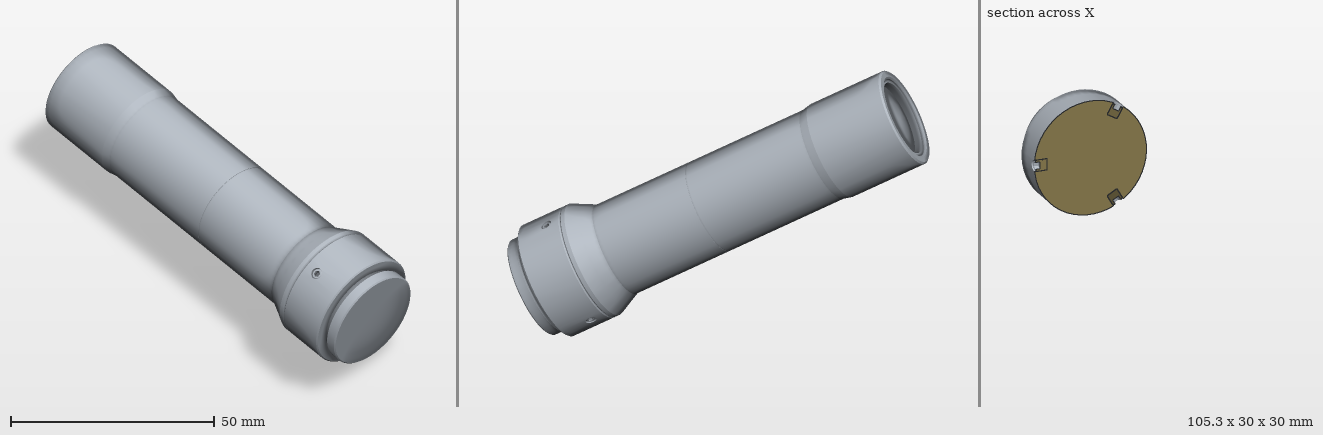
import cadquery as cq
import math

length = 105.3
grip_end = 20.7
grip_taper_end = 23.1
tube_groove_start = 55.1
flare_start = 81.6
flare_end = 87.8
head_groove_start = 88.9
head_end = 101.2
flange_start = 102.2

grip_radius = 12.5
tube_radius = 12.0
head_radius = 15.0
flange_radius = 12.8

tube_groove_width = 0.3
tube_groove_depth = 0.1
head_groove_width = 0.6
head_groove_depth = 0.3
front_chamfer = 0.4
edge_chamfer = 0.3

mouth_radius = 10.7
mouth_chamfer = 0.4
seat_depth = 0.7
lens_radius = 9.5
lens_edge_depth = 2.6
lens_sag = 1.3

screw_count = 3
screw_station = 93.0
screw_diameter = 2.8
screw_length = 3.2
screw_top_radius = 14.7
screw_chamfer = 0.3
socket_across_flats = 1.5
socket_depth = 1.3
socket_sides = 6
first_screw_angle = 30.0
socket_turn = 30.0


def revolve_about_x(outline):
    """Close an outline and turn it about the X axis into a solid."""
    return outline.close().revolve(360, (0, 0, 0), (1, 0, 0))


def housing_blank():
    """Stepped barrel with its flare, head, neck and rear flange."""
    outline = (
        cq.Workplane("XZ")
        .lineTo(0, grip_radius - front_chamfer)
        .lineTo(front_chamfer, grip_radius)
        .lineTo(grip_end, grip_radius)
        .lineTo(grip_taper_end, tube_radius)
        .lineTo(flare_start, tube_radius)
        .lineTo(flare_end, head_radius)
        .lineTo(head_end - edge_chamfer, head_radius)
        .lineTo(head_end, head_radius - edge_chamfer)
        .lineTo(head_end, tube_radius)
        .lineTo(flange_start, tube_radius)
        .lineTo(flange_start, flange_radius - edge_chamfer)
        .lineTo(flange_start + edge_chamfer, flange_radius)
        .lineTo(length - edge_chamfer, flange_radius)
        .lineTo(length, flange_radius - edge_chamfer)
        .lineTo(length, 0)
    )
    return revolve_about_x(outline)


def front_recess():
    """Stepped mouth whose floor is the convex lens face."""
    slope = lens_sag / lens_radius
    sphere_radius = lens_radius * (1 + slope**2) / (2 * slope)
    half_height = lens_radius / 2
    half_sag = sphere_radius - math.sqrt(sphere_radius**2 - half_height**2)
    lens_apex = lens_edge_depth - lens_sag
    outline = (
        cq.Workplane("XZ")
        .lineTo(0, mouth_radius)
        .lineTo(mouth_chamfer, mouth_radius - mouth_chamfer)
        .lineTo(seat_depth, mouth_radius - mouth_chamfer)
        .lineTo(seat_depth, lens_radius)
        .lineTo(lens_edge_depth, lens_radius)
        .threePointArc((lens_apex + half_sag, half_height), (lens_apex, 0))
    )
    return revolve_about_x(outline)


def tube_groove():
    """Shallow square groove around the tube."""
    return (
        cq.Workplane("YZ", origin=(tube_groove_start, 0, 0))
        .circle(tube_radius)
        .circle(tube_radius - tube_groove_depth)
        .extrude(tube_groove_width)
    )


def head_groove():
    """V-shaped groove around the head."""
    outline = (
        cq.Workplane("XZ")
        .moveTo(head_groove_start, head_radius)
        .lineTo(head_groove_start + head_groove_width / 2, head_radius - head_groove_depth)
        .lineTo(head_groove_start + head_groove_width, head_radius)
    )
    return revolve_about_x(outline)


def place_around_head(body, angle):
    """Move a body built along +Z onto the head, then turn it about the X axis."""
    return body.translate((screw_station, 0, 0)).rotate((0, 0, 0), (1, 0, 0), angle)


def screw_hole():
    """Blind hole that ends level with the foot of the screw."""
    bottom = screw_top_radius - screw_length
    return (
        cq.Workplane("XY", origin=(0, 0, bottom))
        .circle(screw_diameter / 2)
        .extrude(head_radius - bottom)
    )


def set_screw():
    """Headless screw with a chamfered top and a hexagon socket, just below the head surface."""
    socket_corner_diameter = socket_across_flats / math.cos(math.pi / socket_sides)
    return (
        cq.Workplane("XY", origin=(0, 0, screw_top_radius - screw_length))
        .circle(screw_diameter / 2)
        .extrude(screw_length)
        .faces(">Z")
        .chamfer(screw_chamfer)
        .faces(">Z")
        .workplane()
        .transformed(rotate=(0, 0, socket_turn))
        .polygon(socket_sides, socket_corner_diameter)
        .cutBlind(-socket_depth)
    )


screw_angles = [first_screw_angle + index * 360 / screw_count for index in range(screw_count)]

housing = (
    housing_blank()
    .cut(front_recess())
    .cut(tube_groove())
    .cut(head_groove())
)
for angle in screw_angles:
    housing = housing.cut(place_around_head(screw_hole(), angle))

screws = [place_around_head(set_screw(), angle) for angle in screw_angles]

result = cq.Compound.makeCompound([housing.val(), *[screw.val() for screw in screws]])